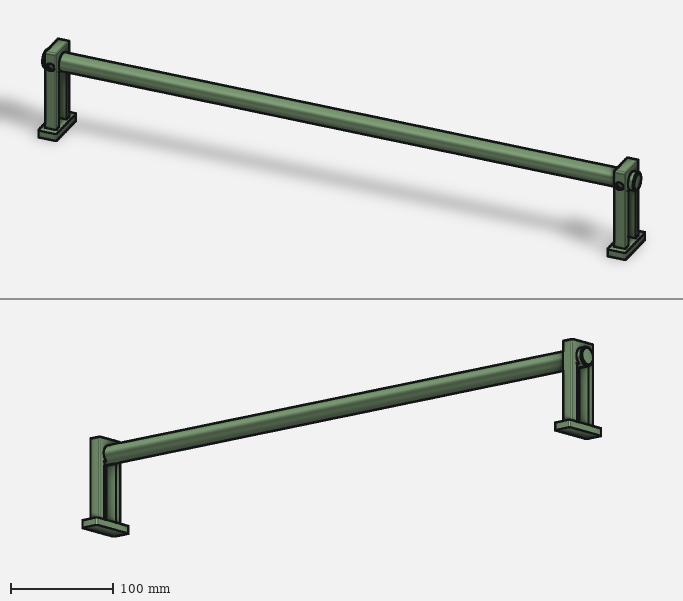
import cadquery as cq

TOTAL_HEIGHT = 91.5
STAND_SPACING = 609.5

ROD_LENGTH = 634.0
ROD_DIAMETER = 19.0
ROD_CHAMFER = 1.0
ROD_AXIS_HEIGHT = 75.5

FOOT_LENGTH = 19.5
FOOT_WIDTH = 48.0
FOOT_HEIGHT = 7.5
FOOT_CORNER_RADIUS = 1.6

UPRIGHT_LENGTH = 12.0
UPRIGHT_WIDTH = 32.5
UPRIGHT_HEIGHT = TOTAL_HEIGHT - FOOT_HEIGHT
UPRIGHT_TOP_RADIUS = 2.0
UPRIGHT_EDGE_RADIUS = 0.95

SLOT_WIDTH = 17.0
SLOT_TOP = 68.0

SCREW_HOLE_DIAMETER = 8.0
SCREW_HOLE_DEPTH = 4.0


def block(length, width, height, bottom):
    """Box centred on the Z axis that stands on the level `bottom`."""
    box = cq.Workplane("XY").box(length, width, height, centered=(True, True, False))
    return box.translate((0, 0, bottom))


def rod_cylinder():
    """Plain cylinder along X; it shapes the rod and the bores that hold it."""
    return (
        cq.Workplane("YZ", origin=(-ROD_LENGTH / 2, 0, ROD_AXIS_HEIGHT))
        .circle(ROD_DIAMETER / 2)
        .extrude(ROD_LENGTH)
    )


def make_rod():
    return rod_cylinder().faces("<X or >X").chamfer(ROD_CHAMFER)


def make_foot():
    foot = block(FOOT_LENGTH, FOOT_WIDTH, FOOT_HEIGHT, 0)
    return foot.edges("|Z").fillet(FOOT_CORNER_RADIUS)


def make_upright():
    """Rounded post, slotted into two legs that are joined at the top."""
    upright = block(UPRIGHT_LENGTH, UPRIGHT_WIDTH, UPRIGHT_HEIGHT, FOOT_HEIGHT)
    upright = upright.edges(">Z and |X").fillet(UPRIGHT_TOP_RADIUS)
    upright = upright.edges("|Z").fillet(UPRIGHT_EDGE_RADIUS)
    slot = block(UPRIGHT_LENGTH, SLOT_WIDTH, SLOT_TOP - FOOT_HEIGHT, FOOT_HEIGHT)
    return upright.cut(slot)


def screw_hole():
    """Blind hole that enters the upright from -Y, level with the rod axis."""
    return (
        cq.Workplane("XZ", origin=(0, -UPRIGHT_WIDTH / 2, ROD_AXIS_HEIGHT))
        .circle(SCREW_HOLE_DIAMETER / 2)
        .extrude(-SCREW_HOLE_DEPTH)
    )


def make_stand(x):
    """Stand centred at `x`, with a bore that fits the rod."""
    stand = make_foot().union(make_upright())
    stand = stand.cut(rod_cylinder()).cut(screw_hole())
    return stand.translate((x, 0, 0))


rod = make_rod()
stands = [make_stand(side * STAND_SPACING / 2) for side in (-1, 1)]

result = cq.Compound.makeCompound([rod.solids().val(), *[stand.solids().val() for stand in stands]])